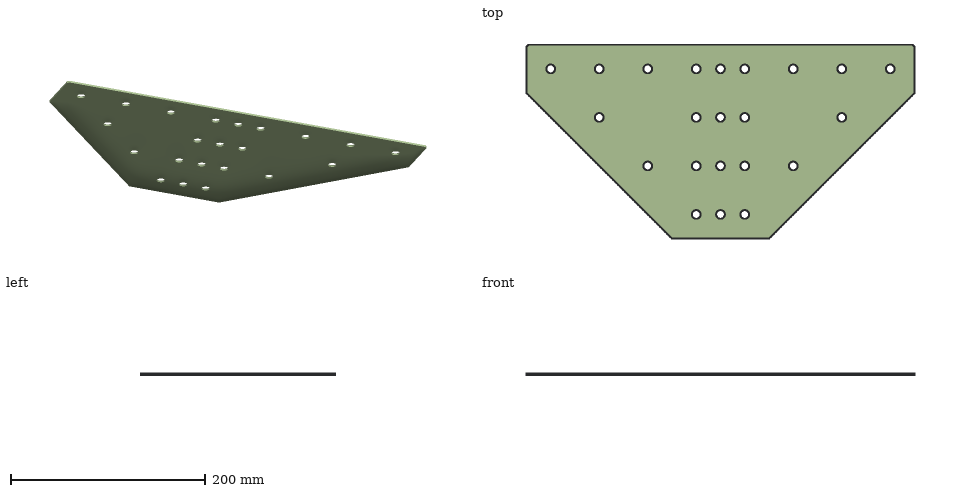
import cadquery as cq

length = 400.0
width = length / 2
thickness = 2.0
pitch = length / 8
side_height = pitch
short_edge = 2 * pitch
corner_chamfer = 2.0

hole_diameter = 9.0
edge_distance = pitch / 2

row_offsets = [(1, 3, 5, 7), (1, 5), (1, 3), (1,)]


def make_plate():
    """Symmetric six-sided plate, centred on the origin in X and Y."""
    outline = [
        (-length / 2, width / 2),
        (length / 2, width / 2),
        (length / 2, width / 2 - side_height),
        (short_edge / 2, -width / 2),
        (-short_edge / 2, -width / 2),
        (-length / 2, width / 2 - side_height),
    ]
    plate = cq.Workplane("XY").polyline(outline).close().extrude(thickness)
    return plate.edges("|Z").edges(">Y").chamfer(corner_chamfer)


def hole_centres():
    """One hole on the centre line of each row, plus its mirrored pairs."""
    centres = []
    for row, offsets in enumerate(row_offsets):
        y = width / 2 - edge_distance - row * pitch
        centres.append((0, y))
        for offset in offsets:
            x = offset * pitch / 2
            centres += [(-x, y), (x, y)]
    return centres


holes = (
    cq.Workplane("XY")
    .pushPoints(hole_centres())
    .circle(hole_diameter / 2)
    .extrude(thickness)
)
result = make_plate().cut(holes)